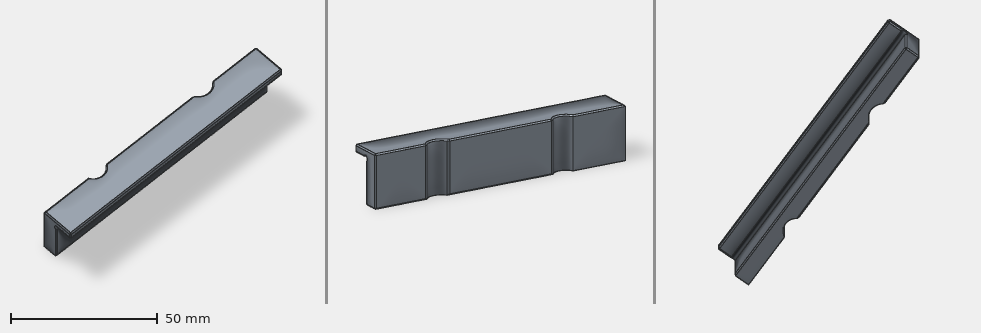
import cadquery as cq

length = 100.0
width = 13.0
height = 20.0
leg_thickness = 6.0
flange_thickness = 3.0
flange_bottom = height - flange_thickness
chamfer = 0.5

relief_radius = 1.2
relief_offset = 0.4
relief_x = leg_thickness + relief_offset
relief_z = flange_bottom - relief_offset

groove_depth = 2.5
large_groove_radius = 5.0
small_groove_radius = 4.5
large_groove_y = length / 4
small_groove_y = -length / 4

pick = 0.1


def l_bar():
    outline = [
        (0, 0),
        (leg_thickness, 0),
        (leg_thickness, flange_bottom),
        (width, flange_bottom),
        (width, height),
        (0, height),
    ]
    return cq.Workplane("XZ").polyline(outline).close().extrude(length / 2, both=True)


def groove(radius, y):
    axis_x = groove_depth - radius
    return cq.Workplane("XY").center(axis_x, y).circle(radius).extrude(height)


def corner_relief():
    relief = cq.Workplane("XZ").center(relief_x, relief_z).circle(relief_radius)
    return relief.extrude(length / 2, both=True)


def edges_to_chamfer(body):
    """All edges but the inner corner, the groove bottoms and the sharp edges at the front end of the leg."""
    inner_corner = cq.selectors.BoxSelector(
        (leg_thickness - pick, -pick, flange_bottom - pick),
        (leg_thickness + pick, pick, flange_bottom + pick),
    )
    groove_bottoms = cq.selectors.BoxSelector(
        (pick, -length / 2 + pick, -pick),
        (leg_thickness - pick, length / 2 - pick, pick),
    )
    sharp_front = cq.selectors.BoxSelector(
        (-pick, -length / 2 - pick, -pick),
        (leg_thickness - pick, small_groove_y - pick, height - pick),
    )
    return body.edges(-(inner_corner + groove_bottoms + sharp_front))


result = l_bar()
result = result.cut(groove(large_groove_radius, large_groove_y))
result = result.cut(groove(small_groove_radius, small_groove_y))
result = edges_to_chamfer(result).chamfer(chamfer)
result = result.cut(corner_relief())